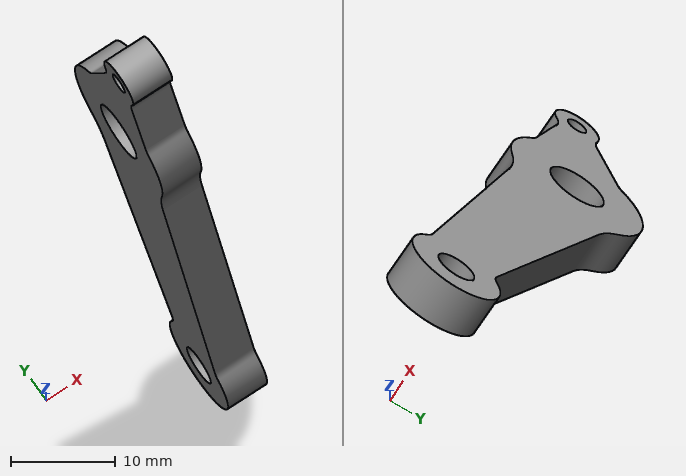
import cadquery as cq
import math

thickness = 4.5

hub_center = (0.0, 0.0)
hub_radius = 7.5
hub_bore = 6.1

link_eye_radius = 2.5
link_eye_bore = 2.1
link_eye_center = (0.0, 15.0)

arm_eye_radius = 5.0
arm_eye_bore = 4.1
arm_eye_center = (13.7, -37.56)

link_half_width_at_hub = 7.0
link_half_width_at_eye = 1.3

arm_outer_offset_at_hub = 5.7
arm_outer_offset_at_eye = 4.0
arm_inner_offset_at_hub = 5.85
arm_inner_offset_at_eye = 2.75

fillet_radius = 2.0
arm_hub_fillet_radius = 7.5


def disc(center, radius):
    """Round plate of full thickness about a center."""
    toward, z = center
    return cq.Workplane("YZ").center(-toward, z).circle(radius).extrude(thickness)


def web(points):
    """Straight-sided plate of full thickness."""
    return cq.Workplane("YZ").polyline([(-toward, z) for toward, z in points]).close().extrude(thickness)


def arm_side(offset_at_hub, offset_at_eye, side):
    """Ends of an arm side: the feet of the perpendiculars from the hub and arm eye centers.

    side is +1 for the -Y side of the arm and -1 for the +Y side.
    """
    toward, z = arm_eye_center
    axis_angle = math.atan2(z, toward)
    taper = math.asin((offset_at_hub - offset_at_eye) / math.hypot(toward, z))
    normal_angle = axis_angle + side * (math.pi / 2 - taper)
    normal = (math.cos(normal_angle), math.sin(normal_angle))
    hub_end = (offset_at_hub * normal[0], offset_at_hub * normal[1])
    eye_end = (toward + offset_at_eye * normal[0], z + offset_at_eye * normal[1])
    return hub_end, eye_end


def corner(center, radius, inside, outside):
    """Point where the line from inside to outside leaves the circle."""
    run = (outside[0] - inside[0], outside[1] - inside[1])
    length = math.hypot(*run)
    unit = (run[0] / length, run[1] / length)
    start = (inside[0] - center[0], inside[1] - center[1])
    along = start[0] * unit[0] + start[1] * unit[1]
    start_squared = start[0] ** 2 + start[1] ** 2
    travel = -along + math.sqrt(along ** 2 + radius ** 2 - start_squared)
    return inside[0] + travel * unit[0], inside[1] + travel * unit[1]


def round_corner(body, point, radius):
    """Fillet the through-thickness edge at an outline corner."""
    toward, z = point
    at_edge = cq.NearestToPointSelector((thickness / 2, -toward, z))
    return body.edges("|X").edges(at_edge).fillet(radius)


def drill(body, center, diameter):
    """Cut a round hole through the full thickness."""
    return body.cut(disc(center, diameter / 2))


link_height = link_eye_center[1]
link_sides = [
    ((side * link_half_width_at_hub, 0.0), (side * link_half_width_at_eye, link_height))
    for side in (1, -1)
]
arm_outer = arm_side(arm_outer_offset_at_hub, arm_outer_offset_at_eye, 1)
arm_inner = arm_side(arm_inner_offset_at_hub, arm_inner_offset_at_eye, -1)

body = disc(hub_center, hub_radius)
body = body.union(disc(link_eye_center, link_eye_radius))
body = body.union(disc(arm_eye_center, arm_eye_radius))
body = body.union(web([*link_sides[0], *reversed(link_sides[1])]))
body = body.union(web([*arm_outer, arm_eye_center, *reversed(arm_inner), hub_center]))

blends = [
    (link_sides[0], link_eye_center, link_eye_radius, fillet_radius),
    (link_sides[1], link_eye_center, link_eye_radius, fillet_radius),
    (arm_outer, arm_eye_center, arm_eye_radius, arm_hub_fillet_radius),
    (arm_inner, arm_eye_center, arm_eye_radius, arm_hub_fillet_radius),
]
for (hub_end, eye_end), eye_center, eye_radius, hub_fillet_radius in blends:
    hub_corner = corner(hub_center, hub_radius, hub_end, eye_end)
    eye_corner = corner(eye_center, eye_radius, eye_end, hub_end)
    body = round_corner(body, hub_corner, hub_fillet_radius)
    body = round_corner(body, eye_corner, fillet_radius)

body = drill(body, hub_center, hub_bore)
body = drill(body, link_eye_center, link_eye_bore)
body = drill(body, arm_eye_center, arm_eye_bore)

result = body